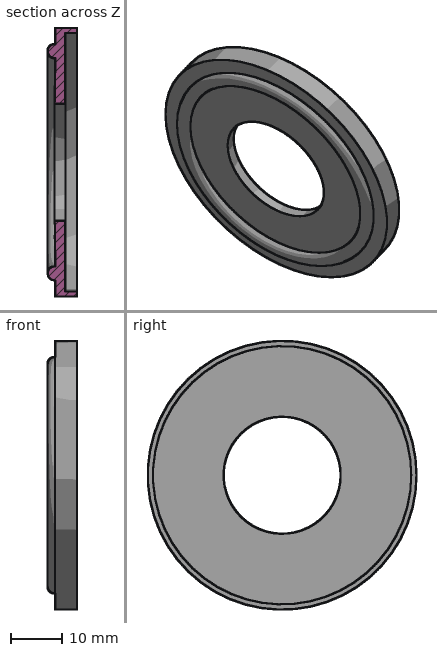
import cadquery as cq

outer_diameter = 52.5
bore_diameter = 22.8
total_thickness = 5.8
rim_thickness = 4.25
recess_diameter = 50.4
recess_depth = 2.25
bead_outer_diameter = 46.2
bead_width = 2.8
bead_neck_height = 0.3
inner_face_rise = 0.15

outer_radius = outer_diameter / 2
bore_radius = bore_diameter / 2
recess_radius = recess_diameter / 2
bead_outer_radius = bead_outer_diameter / 2
bead_inner_radius = bead_outer_radius - bead_width
bead_middle_radius = bead_outer_radius - bead_width / 2

recess_floor_x = -recess_depth
front_x = -rim_thickness
neck_x = front_x - bead_neck_height
bead_top_x = -total_thickness

section = (
    cq.Workplane("XY")
    .moveTo(recess_floor_x, recess_radius)
    .lineTo(recess_floor_x, bore_radius)
    .lineTo(front_x - inner_face_rise, bore_radius)
    .lineTo(front_x, bead_inner_radius)
    .lineTo(neck_x, bead_inner_radius)
    .threePointArc((bead_top_x, bead_middle_radius), (neck_x, bead_outer_radius))
    .lineTo(front_x, bead_outer_radius)
    .lineTo(front_x, outer_radius)
    .lineTo(0, outer_radius)
    .lineTo(0, recess_radius)
    .close()
)

result = section.revolve(360, (0, 0, 0), (1, 0, 0))